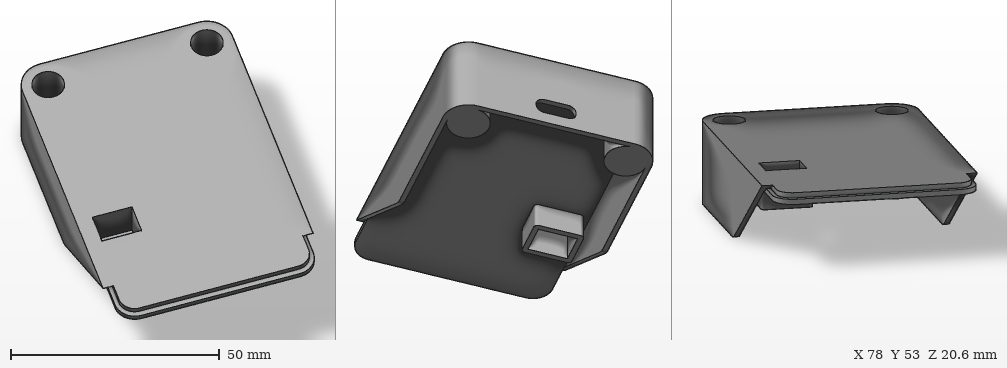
import cadquery as cq

length = 78.0
width = 53.0
height = 20.6

wall = 1.3
roof = 2.6
corner_radius = 6.5
slope_bottom_x = 38.4
slope_top_x = 68.5
slope_blend_radius = 3.9

step_height = roof / 2
lip_inset = 1.5
lip_corner_radius = 5.0
cap_inset = 2.6
cap_end_gap = wall
cap_corner_radius = 3.9

hole_diameter = 7.8
hole_floor = wall
pillar_radius = hole_diameter / 2 + wall

window_x = 47.4
window_y = -22.3
window_length = 7.4
window_width = 10.0
collar_wall = wall
collar_depth = 9.35
collar_corner_radius = 1.0

slot_length = 10.2
slot_height = 4.2
slot_z = 5.2

overlap = 0.8


def side_profile(depth):
    """Side outline with the sloped end, extruded symmetrically to the given depth in Y."""
    outline = [(0, 0), (slope_bottom_x, 0), (slope_top_x, height), (0, height)]
    solid = cq.Workplane("XZ").polyline(outline).close().extrude(depth / 2, both=True)
    blend_edge = cq.selectors.NearestToPointSelector((slope_bottom_x, 0, 0))
    return solid.edges(blend_edge).fillet(slope_blend_radius)


def rounded_end_plate(end_x, inset, radius, bottom, thickness):
    """Plate from the middle of the part to end_x with its two far corners rounded."""
    start_x = length / 2
    plate = cq.Workplane("XY").box(
        end_x - start_x, width - 2 * inset, thickness, centered=(False, True, False)
    )
    return plate.edges("|Z and >X").fillet(radius).translate((start_x, 0, bottom))


def make_shell():
    """Outer body with rounded corners, hollowed from below."""
    body = side_profile(width).edges("|Z and <X").fillet(corner_radius)
    cavity = cq.Workplane("XY").box(
        length, width - 2 * wall, height - roof + overlap, centered=(False, True, False)
    )
    cavity = cavity.edges("|Z and <X").fillet(corner_radius - wall)
    return body.cut(cavity.translate((wall, 0, -overlap)))


def make_tongue():
    """Lower lip and the smaller cap on top of it."""
    roof_bottom = height - roof
    lip = rounded_end_plate(length, lip_inset, lip_corner_radius, roof_bottom, step_height)
    cap = rounded_end_plate(
        length - cap_end_gap, cap_inset, cap_corner_radius, roof_bottom + step_height, step_height
    )
    return lip.union(cap)


def hole_cylinders(radius, bottom):
    """Two cylinders on the corner hole axes, from bottom up to the top face."""
    centers = [(corner_radius, side * (width / 2 - corner_radius)) for side in (-1, 1)]
    plane = cq.Workplane("XY").workplane(offset=bottom)
    return plane.pushPoints(centers).circle(radius).extrude(height - bottom)


def window_block(margin, depth):
    """Block around the window, grown by margin and hanging down from the top face."""
    block = cq.Workplane("XY").box(
        window_length + 2 * margin, window_width + 2 * margin, depth, centered=False
    )
    return block.translate((window_x - margin, window_y - margin, height - depth))


def make_slot():
    """Cutter for the slot in the end wall."""
    slot = cq.Workplane("YZ").center(0, slot_z).slot2D(slot_length, slot_height)
    return slot.extrude(2 * wall, both=True)


result = make_shell().union(make_tongue())
result = result.union(hole_cylinders(pillar_radius, 0))
collar = window_block(collar_wall, collar_depth).edges("|Z").fillet(collar_corner_radius)
result = result.union(collar)
result = result.cut(hole_cylinders(hole_diameter / 2, hole_floor))
result = result.cut(window_block(0, collar_depth))
result = result.cut(make_slot())